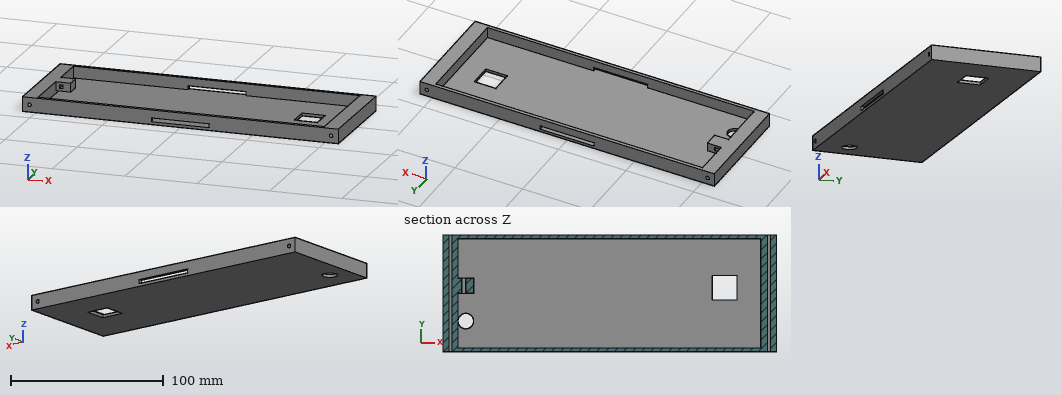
import cadquery as cq

length = 218.3
width = 76.5
height = 10.0

floor_thickness = 2.0
left_wall = 10.0
side_wall = left_wall / 4
right_wall = 10.5
pocket_length = length - left_wall - right_wall
pocket_width = width - 2 * side_wall

tab_reach = 10.3
tab_width = 10.0
tab_thickness = 6.1
tab_center_y = 43.2

passage_size = 2.5
passage_center_x = 13.8
passage_center_z = 7.0

floor_hole_diameter = 10.0
floor_hole_y = 20.0

window_size = 16.0
window_x = 184.2
window_y = 42.0

slot_length = 40.0
slot_height = 2.6
slot_center_x = length / 2

cross_hole_diameter = 2.5
cross_hole_inset = 5.0


def block(x, y, z, size_x, size_y, size_z):
    """Box with its lowest corner at (x, y, z)."""
    return cq.Workplane("XY").box(size_x, size_y, size_z, centered=False).translate((x, y, z))


tray = block(0, 0, 0, length, width, height)
pocket_depth = height - floor_thickness
tray = tray.cut(block(left_wall, side_wall, floor_thickness, pocket_length, pocket_width, pocket_depth))

tab = block(
    left_wall, tab_center_y - tab_width / 2, height - tab_thickness,
    tab_reach, tab_width, tab_thickness,
)
passage = block(
    passage_center_x - passage_size / 2, tab_center_y - tab_width / 2, passage_center_z - passage_size / 2,
    passage_size, tab_width, passage_size,
)
tray = tray.union(tab.cut(passage))

floor_hole_x = left_wall + floor_hole_diameter / 2
floor_hole = (
    cq.Workplane("XY")
    .center(floor_hole_x, floor_hole_y)
    .circle(floor_hole_diameter / 2)
    .extrude(floor_thickness)
)
window = block(
    window_x - window_size / 2, window_y - window_size / 2, 0,
    window_size, window_size, floor_thickness,
)
tray = tray.cut(floor_hole).cut(window)

slot = block(slot_center_x - slot_length / 2, 0, floor_thickness, slot_length, width, slot_height)
tray = tray.cut(slot)

for hole_x in (cross_hole_inset, length - cross_hole_inset):
    cross_hole = (
        cq.Workplane("XZ")
        .center(hole_x, height / 2)
        .circle(cross_hole_diameter / 2)
        .extrude(-width)
    )
    tray = tray.cut(cross_hole)

result = tray